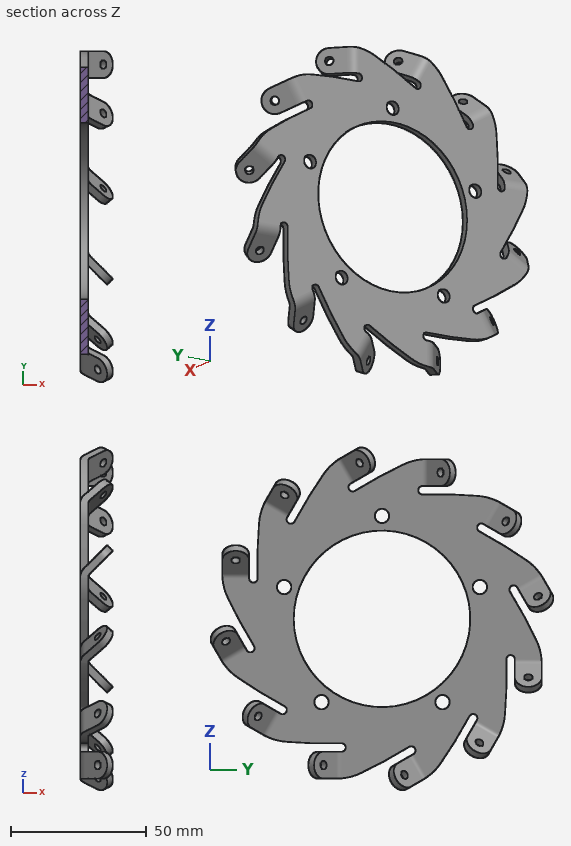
import cadquery as cq
import math

thickness = 3.0
bore_diameter = 65.0
mount_hole_count = 5
mount_hole_diameter = 5.2
mount_hole_circle_radius = 38.0
first_mount_hole_angle = 90

tooth_count = 12
tooth_pitch = 360 / tooth_count
tab_outer_reach = 59.0
tab_width = 10.0
slot_width = 3.0
fold_height = 14.9
slot_wall_top = 25.3
back_curve_radius = 20.0
back_slope_angle = 3.3
tab_edge_curve_end = 16.6

bend_angle = 45
inner_bend_radius = 2.5
tab_straight_length = 6.8
tab_hole_diameter = 3.2

tab_inner_reach = tab_outer_reach - tab_width
slot_inner_reach = tab_inner_reach - slot_width
outer_bend_radius = inner_bend_radius + thickness
fold_corner_angle = -math.degrees(math.asin((tab_edge_curve_end - fold_height) / back_curve_radius))
bend_sin = math.sin(math.radians(bend_angle))
bend_cos = math.cos(math.radians(bend_angle))

outward_axis = (-1, 0, 0)
face_plane = cq.Plane(origin=(0, 0, 0), xDir=(0, -1, 0), normal=outward_axis)


def turned(point, angle):
    """Rotate a (reach, height) point about the ring axis."""
    reach, height = point
    c = math.cos(math.radians(angle))
    s = math.sin(math.radians(angle))
    return (reach * c - height * s, reach * s + height * c)


def slot_top_point(angle):
    """Point where the curve above the slot wall has turned inwards by an angle."""
    turn = math.radians(angle)
    reach = slot_inner_reach - back_curve_radius * (1 - math.cos(turn))
    height = slot_wall_top + back_curve_radius * math.sin(turn)
    return (reach, height)


def tooth_back_point(angle):
    """Point on the curved tooth back, which runs tangent into the tab edge at angle 0."""
    turn = math.radians(angle)
    reach = tab_outer_reach - back_curve_radius * (1 - math.cos(turn))
    height = tab_edge_curve_end + back_curve_radius * math.sin(turn)
    return (reach, height)


def make_plate():
    slot_middle_reach = slot_inner_reach + slot_width / 2
    slot_bottom_height = fold_height - slot_width / 2
    back_start_angle = back_slope_angle - tooth_pitch
    back_middle_angle = (back_start_angle + fold_corner_angle) / 2
    fold_corner = tooth_back_point(fold_corner_angle)

    outline = cq.Workplane(face_plane).moveTo(*fold_corner)
    for tooth in range(tooth_count):
        angle = tooth * tooth_pitch
        next_angle = angle + tooth_pitch
        outline = (
            outline.lineTo(*turned((tab_inner_reach, fold_height), angle))
            .threePointArc(
                turned((slot_middle_reach, slot_bottom_height), angle),
                turned((slot_inner_reach, fold_height), angle),
            )
            .lineTo(*turned((slot_inner_reach, slot_wall_top), angle))
            .threePointArc(
                turned(slot_top_point(back_slope_angle / 2), angle),
                turned(slot_top_point(back_slope_angle), angle),
            )
            .lineTo(*turned(tooth_back_point(back_start_angle), next_angle))
            .threePointArc(
                turned(tooth_back_point(back_middle_angle), next_angle),
                turned(fold_corner, next_angle),
            )
        )
    plate = outline.close().extrude(-thickness)

    bore = cq.Workplane(face_plane).circle(bore_diameter / 2).extrude(-thickness)
    mount_holes = (
        cq.Workplane(face_plane)
        .polarArray(mount_hole_circle_radius, first_mount_hole_angle, 360, mount_hole_count)
        .circle(mount_hole_diameter / 2)
        .extrude(-thickness)
    )
    return plate.cut(bore).cut(mount_holes)


def bend_point(radius, angle):
    """(X, Z) point on a bend arc; the bend axis lies beyond the inner face."""
    turn = math.radians(angle)
    return (outer_bend_radius - radius * math.cos(turn), fold_height + radius * math.sin(turn))


def make_bend():
    bend_top = bend_point(outer_bend_radius, bend_angle)[1]
    bend = (
        cq.Workplane("XZ")
        .workplane(offset=tab_inner_reach)
        .moveTo(*bend_point(outer_bend_radius, 0))
        .threePointArc(
            bend_point(outer_bend_radius, bend_angle / 2),
            bend_point(outer_bend_radius, bend_angle),
        )
        .lineTo(*bend_point(inner_bend_radius, bend_angle))
        .threePointArc(
            bend_point(inner_bend_radius, bend_angle / 2),
            bend_point(inner_bend_radius, 0),
        )
        .close()
        .extrude(tab_width)
    )
    bend_outline = (
        cq.Workplane(face_plane)
        .moveTo(tab_inner_reach, fold_height)
        .lineTo(*tooth_back_point(fold_corner_angle))
        .threePointArc(tooth_back_point(fold_corner_angle / 2), tooth_back_point(0))
        .lineTo(tab_outer_reach, bend_top)
        .lineTo(tab_inner_reach, bend_top)
        .close()
        .extrude(-outer_bend_radius)
    )
    return bend.intersect(bend_outline)


def make_tab():
    """Flat tab past the bend, with a full round end and a hole at its centre."""
    start_x, start_z = bend_point(outer_bend_radius, bend_angle)
    tab_middle_reach = tab_inner_reach + tab_width / 2
    tab_plane = cq.Plane(
        origin=(start_x, -tab_middle_reach, start_z),
        xDir=(0, -1, 0),
        normal=(-bend_cos, 0, bend_sin),
    )
    half_width = tab_width / 2
    return (
        cq.Workplane(tab_plane)
        .moveTo(-half_width, 0)
        .lineTo(half_width, 0)
        .lineTo(half_width, tab_straight_length)
        .threePointArc(
            (0, tab_straight_length + half_width),
            (-half_width, tab_straight_length),
        )
        .close()
        .moveTo(0, tab_straight_length)
        .circle(tab_hole_diameter / 2)
        .extrude(-thickness)
    )


bent_tab = make_bend().union(make_tab())
result = make_plate()
for tooth in range(tooth_count):
    result = result.union(bent_tab.rotate((0, 0, 0), outward_axis, tooth * tooth_pitch))